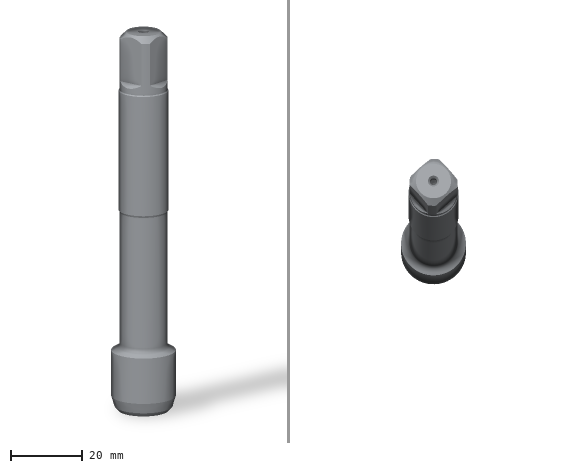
import cadquery as cq
import math

total_length = 110
head_length = 17.0
rim_top = 17.4
lead_height = 4.2
tip_height = 1.2
neck_top = 57.6
shank_bottom = 58.2
shank_top = 93.2
square_length = 14.0

head_diameter = 18.2
lead_end_diameter = 16.4
tip_diameter = 14.3
neck_diameter = 13.4
shank_diameter = 14.0
drive_diameter = 13.4
drive_top_diameter = 9.8

cone_angle = 30
blend_radius = 1.3

square_width = 11.0
shoulder_chamfer = (shank_diameter - drive_diameter) / 2
countersink_diameter = 3.1
centre_diameter = 2.0
countersink_half_angle = math.radians(30)
drill_half_angle = math.radians(60)
countersink_depth = (countersink_diameter - centre_diameter) / 2 / math.tan(countersink_half_angle)
centre_depth = 2.8
drill_tip_height = centre_diameter / 2 / math.tan(drill_half_angle)


def revolve_profile(profile):
    """Turn a closed radius-height profile about the Z axis."""
    return profile.close().revolve(360, (0, 0, 0), (0, 1, 0))


def make_head():
    """Cutting head with a tapered lead and a chamfered tip."""
    profile = (
        cq.Workplane("XZ")
        .lineTo(tip_diameter / 2, 0)
        .lineTo(lead_end_diameter / 2, tip_height)
        .lineTo(head_diameter / 2, lead_height)
        .lineTo(head_diameter / 2, head_length)
        .lineTo(0, head_length)
    )
    return revolve_profile(profile)


def make_turned_shank():
    """Round neck, shank and drive end, with a thin rim and blended cone at the bottom."""
    slope = math.radians(cone_angle)
    turn = math.pi / 2 - slope
    neck_radius = neck_diameter / 2
    blend_centre_radius = neck_radius + blend_radius
    cone_top_radius = blend_centre_radius - blend_radius * math.cos(turn)
    cone_top = rim_top + (head_diameter / 2 - cone_top_radius) * math.tan(slope)
    blend_top = cone_top + blend_radius * math.sin(turn)
    blend_middle = (
        blend_centre_radius - blend_radius * math.cos(turn / 2),
        blend_top - blend_radius * math.sin(turn / 2),
    )
    top_chamfer = (drive_diameter - drive_top_diameter) / 2
    profile = (
        cq.Workplane("XZ")
        .moveTo(0, head_length)
        .lineTo(head_diameter / 2, head_length)
        .lineTo(head_diameter / 2, rim_top)
        .lineTo(cone_top_radius, cone_top)
        .threePointArc(blend_middle, (neck_radius, blend_top))
        .lineTo(neck_radius, neck_top)
        .lineTo(shank_diameter / 2, shank_bottom)
        .lineTo(shank_diameter / 2, shank_top - shoulder_chamfer)
        .lineTo(drive_diameter / 2, shank_top)
        .lineTo(drive_diameter / 2, total_length - top_chamfer)
        .lineTo(drive_top_diameter / 2, total_length)
        .lineTo(0, total_length)
    )
    return revolve_profile(profile)


def make_flat_cutter():
    """Waste beyond one flat of the square, with a 45 degree run-out at its foot."""
    flat = square_width / 2
    outer = shank_diameter / 2
    foot = total_length - square_length
    return (
        cq.Workplane("XZ")
        .moveTo(flat, foot)
        .lineTo(outer, foot - (outer - flat))
        .lineTo(outer, total_length)
        .lineTo(flat, total_length)
        .close()
        .extrude(shank_diameter, both=True)
    )


def make_centre_hole():
    """Countersunk centre hole with a conical drill bottom."""
    bottom = total_length - centre_depth
    profile = (
        cq.Workplane("XZ")
        .moveTo(0, total_length)
        .lineTo(countersink_diameter / 2, total_length)
        .lineTo(centre_diameter / 2, total_length - countersink_depth)
        .lineTo(centre_diameter / 2, bottom)
        .lineTo(0, bottom - drill_tip_height)
    )
    return revolve_profile(profile)


def make_shank():
    """Turned shank with its driving square and centre hole."""
    shank = make_turned_shank().cut(make_centre_hole())
    flat_cutter = make_flat_cutter()
    for side in range(4):
        shank = shank.cut(flat_cutter.rotate((0, 0, 0), (0, 0, 1), 90 * side))
    return shank


head = make_head()
shank = make_shank()
result = cq.Compound.makeCompound([head.val(), shank.val()])